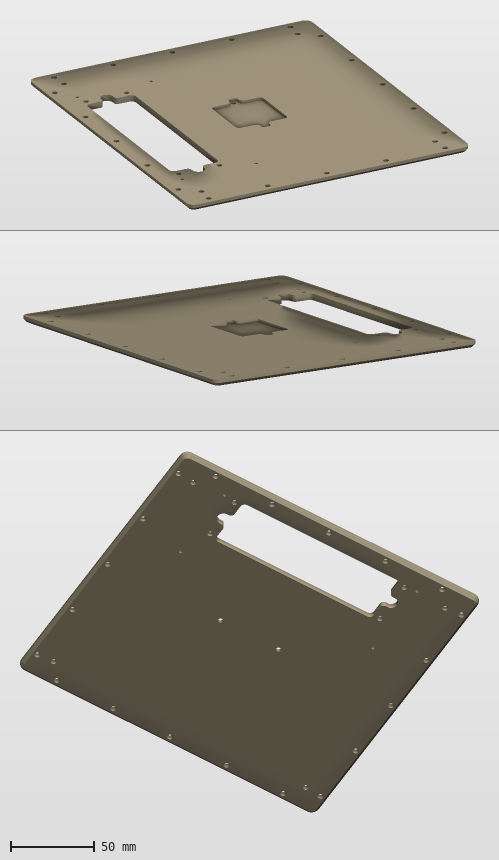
import cadquery as cq

PLATE_X = 210.0
PLATE_Y = 190.0
PLATE_Z = 4.0
CORNER_RADIUS = 5.0
BOTTOM_CHAMFER = 2.0

RIM_HOLE_DIAMETER = 3.6
RIM_HOLE_INSET = 5.0
RIM_HOLE_PITCH = 40.0
RIM_HOLES_PER_SIDE = 5

MOUNT_HOLE_DIAMETER = 3.5
MOUNT_HOLE_X = 89.0
MOUNT_HOLE_Y = 79.0

WINDOW_X = 111.0
WINDOW_Y = 32.5
WINDOW_CENTER_Y = -65.5
WINDOW_CORNER_RADIUS = 3.0
WINDOW_EAR_SPAN = 126.5
WINDOW_EAR_WIDTH = 8.0
WINDOW_EAR_FILLET = 2.5

WINDOW_HOLE_DIAMETER = 3.4
WINDOW_HOLE_X = 60.0
WINDOW_HOLE_SPACING_Y = 27.5

PILOT_HOLE_DIAMETER = 2.05
PILOT_HOLE_X = 68.0
PILOT_HOLE_TOP_Y = -31.0
PILOT_HOLE_SPACING_Y = 50.0

POCKET_SIDE = 34.5
POCKET_DEPTH = 2.0
POCKET_CORNER_RADIUS = 2.5
POCKET_EAR_SPAN = 46.0
POCKET_EAR_WIDTH = 6.2
POCKET_EAR_CORNER_RADIUS = 2.0
POCKET_EAR_FILLET = 3.0
POCKET_HOLE_DIAMETER = 2.9
POCKET_HOLE_X = 20.5

CORNER_SEARCH_REACH = 0.1


def mirrored_in_x(x, y_values):
    """Points at -x and +x for every y."""
    return [(side * x, y) for side in (-1, 1) for y in y_values]


def through_holes(diameter, points):
    return cq.Workplane("XY").pushPoints(points).circle(diameter / 2).extrude(PLATE_Z)


def rounded_block(length, width, height, radius):
    """Block with rounded vertical edges, centred in X and Y and standing on Z = 0."""
    block = cq.Workplane("XY").rect(length, width).extrude(height)
    return block.edges("|Z").fillet(radius)


def join_ears(body, body_length, ears, ear_width, fillet_radius):
    """Unite a body with the bar that forms its ears and round the corners where they meet."""
    joined = body.union(ears)
    reach = CORNER_SEARCH_REACH
    for x, y in mirrored_in_x(body_length / 2, (-ear_width / 2, ear_width / 2)):
        corner = cq.selectors.BoxSelector(
            (x - reach, y - reach, 0),
            (x + reach, y + reach, PLATE_Z),
        )
        joined = joined.edges("|Z").edges(corner).fillet(fillet_radius)
    return joined


def plate():
    blank = rounded_block(PLATE_X, PLATE_Y, PLATE_Z, CORNER_RADIUS)
    return blank.faces("<Z").chamfer(BOTTOM_CHAMFER)


def rim_holes():
    middle = (RIM_HOLES_PER_SIDE - 1) / 2
    offsets = [(i - middle) * RIM_HOLE_PITCH for i in range(RIM_HOLES_PER_SIDE)]
    row_x = PLATE_X / 2 - RIM_HOLE_INSET
    row_y = PLATE_Y / 2 - RIM_HOLE_INSET
    side_points = mirrored_in_x(row_x, offsets)
    end_points = [(x, side * row_y) for side in (-1, 1) for x in offsets]
    return through_holes(RIM_HOLE_DIAMETER, side_points + end_points)


def mount_holes():
    rows = (-MOUNT_HOLE_Y, MOUNT_HOLE_Y)
    return through_holes(MOUNT_HOLE_DIAMETER, mirrored_in_x(MOUNT_HOLE_X, rows))


def window():
    body = rounded_block(WINDOW_X, WINDOW_Y, PLATE_Z, WINDOW_CORNER_RADIUS)
    ears = cq.Workplane("XY").slot2D(WINDOW_EAR_SPAN, WINDOW_EAR_WIDTH).extrude(PLATE_Z)
    opening = join_ears(body, WINDOW_X, ears, WINDOW_EAR_WIDTH, WINDOW_EAR_FILLET)
    return opening.translate((0, WINDOW_CENTER_Y, 0))


def window_holes():
    half_spacing = WINDOW_HOLE_SPACING_Y / 2
    rows = (WINDOW_CENTER_Y - half_spacing, WINDOW_CENTER_Y + half_spacing)
    return through_holes(WINDOW_HOLE_DIAMETER, mirrored_in_x(WINDOW_HOLE_X, rows))


def pilot_holes():
    rows = (PILOT_HOLE_TOP_Y, PILOT_HOLE_TOP_Y - PILOT_HOLE_SPACING_Y)
    return through_holes(PILOT_HOLE_DIAMETER, mirrored_in_x(PILOT_HOLE_X, rows))


def pocket():
    body = rounded_block(POCKET_SIDE, POCKET_SIDE, POCKET_DEPTH, POCKET_CORNER_RADIUS)
    ears = rounded_block(POCKET_EAR_SPAN, POCKET_EAR_WIDTH, POCKET_DEPTH, POCKET_EAR_CORNER_RADIUS)
    recess = join_ears(body, POCKET_SIDE, ears, POCKET_EAR_WIDTH, POCKET_EAR_FILLET)
    return recess.translate((0, 0, PLATE_Z - POCKET_DEPTH))


def pocket_holes():
    return through_holes(POCKET_HOLE_DIAMETER, mirrored_in_x(POCKET_HOLE_X, (0,)))


result = plate()
for cutter in (
    rim_holes(),
    mount_holes(),
    window(),
    window_holes(),
    pilot_holes(),
    pocket(),
    pocket_holes(),
):
    result = result.cut(cutter)